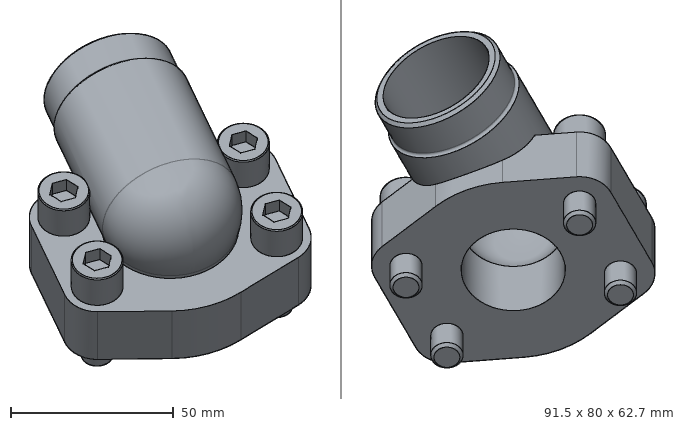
import cadquery as cq
import math

FLANGE_THICKNESS = 22.1
FLANGE_END_RADIUS = 34.5
FLANGE_WIDTH = 80.0
BOLT_SPACING_X = 30.2
BOLT_SPACING_Y = 58.7
PORT_DIAMETER = 32.0

TUBE_AXIS_HEIGHT = 30.0
TUBE_DIAMETER = 44.3
TUBE_BORE = 35.9
TUBE_REACH = 57.0
NECK_DIAMETER = 42.3
NECK_LENGTH = 13.0
NECK_CHAMFER = 1.1
RISER_DIAMETER = NECK_DIAMETER

HEAD_DIAMETER = 16.0
HEAD_HEIGHT = 12.2
HEAD_CHAMFER = 0.4
SHANK_DIAMETER = 10.0
SHANK_PROTRUSION = 10.5
SHANK_CHAMFER = 1.0
SOCKET_ACROSS_FLATS = 8.0
SOCKET_DEPTH = 5.0

TUBE_RADIUS = TUBE_DIAMETER / 2
NECK_RADIUS = NECK_DIAMETER / 2
BOLT_X = BOLT_SPACING_X / 2
BOLT_Y = BOLT_SPACING_Y / 2


def polar(center, radius, angle):
    """Point on a circle at an angle in radians."""
    return (center[0] + radius * math.cos(angle), center[1] + radius * math.sin(angle))


def make_flange():
    """Plate bounded by two end arcs, four corner arcs and their common tangents."""
    corner_radius = FLANGE_WIDTH / 2 - BOLT_Y
    bolt_distance = math.hypot(BOLT_X, BOLT_Y)
    bolt_angle = math.atan2(BOLT_Y, BOLT_X)
    side_angle = bolt_angle - math.acos((FLANGE_END_RADIUS - corner_radius) / bolt_distance)
    corner_mid_angle = (side_angle + math.pi / 2) / 2

    corner = (BOLT_X, BOLT_Y)
    end_x, end_y = polar((0, 0), FLANGE_END_RADIUS, side_angle)
    side_x, side_y = polar(corner, corner_radius, side_angle)
    mid_x, mid_y = polar(corner, corner_radius, corner_mid_angle)
    edge_y = FLANGE_WIDTH / 2

    outline = (
        cq.Workplane("XY")
        .moveTo(end_x, -end_y)
        .threePointArc((FLANGE_END_RADIUS, 0), (end_x, end_y))
        .lineTo(side_x, side_y)
        .threePointArc((mid_x, mid_y), (BOLT_X, edge_y))
        .lineTo(-BOLT_X, edge_y)
        .threePointArc((-mid_x, mid_y), (-side_x, side_y))
        .lineTo(-end_x, end_y)
        .threePointArc((-FLANGE_END_RADIUS, 0), (-end_x, -end_y))
        .lineTo(-side_x, -side_y)
        .threePointArc((-mid_x, -mid_y), (-BOLT_X, -edge_y))
        .lineTo(BOLT_X, -edge_y)
        .threePointArc((mid_x, -mid_y), (side_x, -side_y))
        .close()
    )
    return outline.extrude(FLANGE_THICKNESS)


def make_tube():
    """Tube along X: chamfered neck, filleted shoulder, full barrel and spherical end."""
    shoulder_x = NECK_LENGTH - TUBE_REACH
    shoulder_fillet = TUBE_RADIUS - NECK_RADIUS
    diagonal = math.sqrt(0.5)
    fillet_mid = (
        shoulder_x - shoulder_fillet * (1 - diagonal),
        TUBE_RADIUS - shoulder_fillet * diagonal,
    )
    profile = (
        cq.Workplane("XZ")
        .moveTo(-TUBE_REACH, 0)
        .lineTo(-TUBE_REACH, NECK_RADIUS - NECK_CHAMFER)
        .lineTo(NECK_CHAMFER - TUBE_REACH, NECK_RADIUS)
        .lineTo(shoulder_x - shoulder_fillet, NECK_RADIUS)
        .threePointArc(fillet_mid, (shoulder_x, TUBE_RADIUS))
        .lineTo(0, TUBE_RADIUS)
        .threePointArc((TUBE_RADIUS * diagonal, TUBE_RADIUS * diagonal), (TUBE_RADIUS, 0))
        .close()
    )
    tube = profile.revolve(360, (0, 0, 0), (1, 0, 0))
    return tube.translate((0, 0, TUBE_AXIS_HEIGHT))


def make_riser():
    """Vertical cylinder joining the flange to the underside of the elbow."""
    return cq.Workplane("XY").circle(RISER_DIAMETER / 2).extrude(TUBE_AXIS_HEIGHT)


def make_passage():
    """Flow passage: tube bore with a spherical end, opening down through the port."""
    bore = (
        cq.Workplane("YZ")
        .workplane(offset=-TUBE_REACH)
        .center(0, TUBE_AXIS_HEIGHT)
        .circle(TUBE_BORE / 2)
        .extrude(TUBE_REACH)
    )
    elbow = cq.Workplane("XY").sphere(TUBE_BORE / 2).translate((0, 0, TUBE_AXIS_HEIGHT))
    port = cq.Workplane("XY").circle(PORT_DIAMETER / 2).extrude(TUBE_AXIS_HEIGHT)
    return bore.union(elbow).union(port)


def make_bolt():
    """Socket head bolt on the Z axis, seated on the top of the flange."""
    shank = (
        cq.Workplane("XY")
        .workplane(offset=-SHANK_PROTRUSION)
        .circle(SHANK_DIAMETER / 2)
        .extrude(SHANK_PROTRUSION + FLANGE_THICKNESS)
        .faces("<Z")
        .chamfer(SHANK_CHAMFER)
    )
    head = (
        cq.Workplane("XY")
        .workplane(offset=FLANGE_THICKNESS)
        .circle(HEAD_DIAMETER / 2)
        .extrude(HEAD_HEIGHT)
        .faces(">Z")
        .chamfer(HEAD_CHAMFER)
    )
    return shank.union(head)


def make_socket():
    """Hexagonal recess on the Z axis with two flats facing along X."""
    across_corners = SOCKET_ACROSS_FLATS / math.cos(math.pi / 6)
    head_top = FLANGE_THICKNESS + HEAD_HEIGHT
    socket = cq.Workplane("XY").polygon(6, across_corners).extrude(SOCKET_DEPTH)
    return socket.rotate((0, 0, 0), (0, 0, 1), 90).translate((0, 0, head_top - SOCKET_DEPTH))


result = make_flange().union(make_riser()).union(make_tube())

bolt = make_bolt()
socket = make_socket()
for x in (-BOLT_X, BOLT_X):
    for y in (-BOLT_Y, BOLT_Y):
        result = result.union(bolt.translate((x, y, 0))).cut(socket.translate((x, y, 0)))

result = result.cut(make_passage())